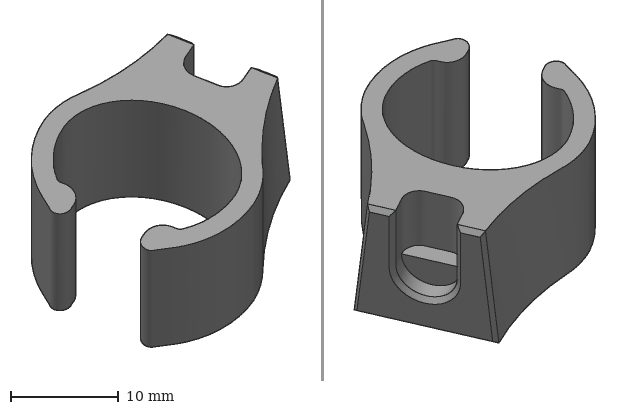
import cadquery as cq
import math

height = 13.7
ring_half_width = 22.0 / 2
ring_lower_radius = 10.6
bore_half_width = 8.97
bore_upper_radius = 7.15
bore_lower_radius = 8.55

mount_y = 15.17
mount_chamfer = 0.5
side_chamfer = 0.4
shoulder_y = mount_y - mount_chamfer

bottom_flank = {"blend": (10.68, 1.98), "join": (9.95, 3.85), "middle": (7.98, 8.97), "end_x": 7.1}
top_flank = {"blend": (10.54, 2.53), "join": (9.57, 4.45), "middle": (7.15, 9.45), "end_x": 5.78}

recess_radius = 3.0
slot_end_y = 11.33
slot_corner = 1.74
hole_end_y = slot_end_y + slot_corner

lip_inner_x = 3.72
lip_radius = 1.93
lip_top_y = -6.02
lip_center = (lip_inner_x + lip_radius, lip_top_y - lip_radius)
lip_root_x = 6.2
lip_root_sag = 0.02
lip_flat_end_y = -8.3
tip_point = (4.88, -9.62)
tip_side = (3.95, -9.15)
tip_outer_side = (5.25, -9.52)
tip_outer_end = (5.55, -9.3)
lip_tangent_x = 6.67
bore_end_x = 6.55


def block_outline(flank):
    """Closed outline of the upper half on one end face."""
    blend_x, blend_y = flank["blend"]
    join_x, join_y = flank["join"]
    middle_x, middle_y = flank["middle"]
    end_x = flank["end_x"]
    return (
        cq.Workplane("XY")
        .moveTo(-ring_half_width, 0)
        .lineTo(ring_half_width, 0)
        .threePointArc((blend_x, blend_y), (join_x, join_y))
        .threePointArc((middle_x, middle_y), (end_x, shoulder_y))
        .lineTo(end_x - side_chamfer, mount_y)
        .lineTo(side_chamfer - end_x, mount_y)
        .lineTo(-end_x, shoulder_y)
        .threePointArc((-middle_x, middle_y), (-join_x, join_y))
        .threePointArc((-blend_x, blend_y), (-ring_half_width, 0))
        .close()
        .val()
    )


def make_block():
    """Upper half, narrowing from the bottom face to the top face."""
    bottom = block_outline(bottom_flank).translate(cq.Vector(0, 0, -height / 2))
    top = block_outline(top_flank).translate(cq.Vector(0, 0, height / 2))
    block = cq.Workplane(obj=cq.Solid.makeLoft([bottom, top], True))
    bore = (
        cq.Workplane("XY", origin=(0, 0, -height / 2))
        .ellipse(bore_half_width, bore_upper_radius)
        .extrude(height)
    )
    return block.cut(bore)


def ellipse_points(start_x, end_x, half_width, radius):
    """Points after start_x, up to end_x, along a lower half-ellipse of the ring."""
    steps = 8
    start_angle = math.acos(start_x / half_width)
    end_angle = math.acos(end_x / half_width)
    points = []
    for step in range(1, steps + 1):
        angle = start_angle + (end_angle - start_angle) * step / steps
        points.append((half_width * math.cos(angle), -radius * math.sin(angle)))
    return points


def make_arm():
    """Right lower arm of the ring with its lip."""
    bore_end_y = -bore_lower_radius * math.sqrt(1 - (bore_end_x / bore_half_width) ** 2)
    diagonal = lip_radius * math.sqrt(0.5)
    lip_middle = (lip_center[0] - diagonal, lip_center[1] + diagonal)
    root_middle = ((lip_root_x + bore_end_x) / 2, (lip_top_y + bore_end_y) / 2 - lip_root_sag)
    outer_points = ellipse_points(ring_half_width, lip_tangent_x, ring_half_width, ring_lower_radius)
    bore_points = ellipse_points(bore_end_x, bore_half_width, bore_half_width, bore_lower_radius)
    return (
        cq.Workplane("XY", origin=(0, 0, -height / 2))
        .moveTo(bore_half_width, 0)
        .lineTo(ring_half_width, 0)
        .spline(outer_points, includeCurrent=True)
        .lineTo(*tip_outer_end)
        .threePointArc(tip_outer_side, tip_point)
        .threePointArc(tip_side, (lip_inner_x, lip_flat_end_y))
        .lineTo(lip_inner_x, lip_center[1])
        .threePointArc(lip_middle, (lip_center[0], lip_top_y))
        .lineTo(lip_root_x, lip_top_y)
        .threePointArc(root_middle, (bore_end_x, bore_end_y))
        .spline(bore_points, includeCurrent=True)
        .close()
        .extrude(height)
    )


def make_recess():
    """Slot from mid-height to the top, joined to the shallower round hole."""
    slot_length = mount_y - slot_end_y
    slot = (
        cq.Workplane("XY")
        .center(0, slot_end_y + slot_length / 2)
        .rect(2 * recess_radius, slot_length)
        .extrude(height)
        .edges("|Z and <Y")
        .fillet(slot_corner)
    )
    hole = (
        cq.Workplane("XZ", origin=(0, hole_end_y, 0))
        .circle(recess_radius)
        .extrude(hole_end_y - mount_y)
    )
    return slot.union(hole)


def make_recess_mouth():
    """Chamfer around the recess opening: a cone with straight flares above it."""
    flare_radius = recess_radius + mount_chamfer
    cone = (
        cq.Workplane("XY")
        .moveTo(0, shoulder_y)
        .lineTo(recess_radius, shoulder_y)
        .lineTo(flare_radius, mount_y)
        .lineTo(0, mount_y)
        .close()
        .revolve(360, (0, 0), (0, 1))
    )
    flares = (
        cq.Workplane("XY")
        .moveTo(-recess_radius, shoulder_y)
        .lineTo(recess_radius, shoulder_y)
        .lineTo(flare_radius, mount_y)
        .lineTo(-flare_radius, mount_y)
        .close()
        .extrude(height)
    )
    return cone.union(flares)


block = make_block().faces(">Y").edges("|X").chamfer(mount_chamfer)
block = block.cut(make_recess()).cut(make_recess_mouth())
right_arm = make_arm()
result = block.union(right_arm).union(right_arm.mirror("YZ"))